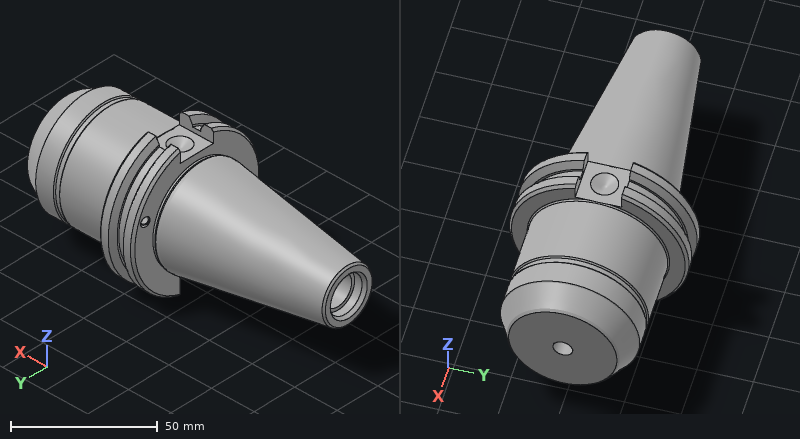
import cadquery as cq
import math


total_length = 132.8
gauge_x = 68.0
flange_x = 71.3
flange_end = 87.3
nose_cone_x = 124.0

taper_ratio = 7 / 48
gauge_radius = 22.2
shank_chamfer = 0.8
neck_diameter = 43.5
neck_step_x = 69.5
neck_x = 70.4

flange_diameter = 63.5
flange_chamfer = 1.0
groove_diameter = 56.3
groove_floor_width = 3.8
groove_center_x = 79.3
groove_flank_width = 1.6
groove_flank_angle = 60.0

nose_diameter = 49.3
nose_fillet = 0.5
ring_groove_diameter = 48.2
ring_groove_x = 112.3
ring_groove_width = 2.9
ring_groove_slope = 0.5
nose_edge_chamfer = 0.4
nose_mid_x = 128.2
nose_mid_radius = 21.9
nose_tip_radius = 19.9
nose_tip_chamfer = 0.8

slot_width = 16.3
upper_slot_floor = 24.8
lower_slot_floor = 22.7
dimple_diameter = 9.5
dimple_depth = 2.8

mouth_diameter = 18.2
mouth_depth = 1.6
pilot_diameter = 16.3
pilot_depth = 5.0
bore_diameter = 13.4
bore_depth = 106.2
through_diameter = 6.9
bore_cone_angle = 59.0

channel_diameter = 3.2
channel_mouth_diameter = 4.0
channel_mouth_depth = 1.9
channel_entry_radius = 27.1
channel_exit_radius = 5.3
channel_azimuth = 20.0
channel_overlap = 1.3


def make_body():
    flange_radius = flange_diameter / 2
    groove_radius = groove_diameter / 2
    nose_radius = nose_diameter / 2
    ring_radius = ring_groove_diameter / 2
    neck_radius = neck_diameter / 2
    floor_start = groove_center_x - groove_floor_width / 2
    floor_end = groove_center_x + groove_floor_width / 2
    flank_drop = groove_flank_width * math.tan(math.radians(groove_flank_angle))
    flank_foot = flange_radius - flank_drop
    ring_end = ring_groove_x + ring_groove_width
    shank_radius = gauge_radius - (gauge_x - shank_chamfer) * taper_ratio
    tip_chamfer_x = total_length - nose_tip_chamfer

    profile = (
        cq.Workplane("XY")
        .lineTo(0, shank_radius - shank_chamfer)
        .lineTo(shank_chamfer, shank_radius)
        .lineTo(gauge_x, gauge_radius)
        .lineTo(neck_step_x, gauge_radius)
        .lineTo(neck_x, neck_radius)
        .lineTo(flange_x, neck_radius)
        .lineTo(flange_x, flange_radius - flange_chamfer)
        .lineTo(flange_x + flange_chamfer, flange_radius)
        .lineTo(floor_start - groove_flank_width, flange_radius)
        .lineTo(floor_start, flank_foot)
        .lineTo(floor_start, groove_radius)
        .lineTo(floor_end, groove_radius)
        .lineTo(floor_end, flank_foot)
        .lineTo(floor_end + groove_flank_width, flange_radius)
        .lineTo(flange_end - flange_chamfer, flange_radius)
        .lineTo(flange_end, flange_radius - flange_chamfer)
        .lineTo(flange_end, nose_radius + nose_fillet)
        .radiusArc((flange_end + nose_fillet, nose_radius), -nose_fillet)
        .lineTo(ring_groove_x, nose_radius)
        .lineTo(ring_groove_x + ring_groove_slope, ring_radius)
        .lineTo(ring_end - ring_groove_slope, ring_radius)
        .lineTo(ring_end, nose_radius)
        .lineTo(nose_cone_x - nose_edge_chamfer, nose_radius)
        .lineTo(nose_cone_x, nose_radius - nose_edge_chamfer)
        .threePointArc((nose_mid_x, nose_mid_radius), (tip_chamfer_x, nose_tip_radius))
        .lineTo(total_length, nose_tip_radius - nose_tip_chamfer)
        .lineTo(total_length, 0)
        .close()
    )
    return profile.revolve(360, (0, 0, 0), (1, 0, 0))


def cone_position(radius):
    """X where the cone at the end of the bore has the given radius."""
    return bore_depth + (bore_diameter / 2 - radius) / math.tan(math.radians(bore_cone_angle))


def make_bore():
    bore_radius = bore_diameter / 2
    through_radius = through_diameter / 2
    cone_end = cone_position(through_radius)
    profile = (
        cq.Workplane("XY")
        .lineTo(0, mouth_diameter / 2)
        .lineTo(mouth_depth, pilot_diameter / 2)
        .lineTo(pilot_depth, pilot_diameter / 2)
        .lineTo(pilot_depth, bore_radius)
        .lineTo(bore_depth, bore_radius)
        .lineTo(cone_end, through_radius)
        .lineTo(total_length, through_radius)
        .lineTo(total_length, 0)
        .close()
    )
    return profile.revolve(360, (0, 0, 0), (1, 0, 0))


def make_drive_slot(floor, side):
    """Slot across the flange with a round end; side is 1 for +Z, -1 for -Z."""
    half_width = slot_width / 2
    return (
        cq.Workplane("XY")
        .workplane(offset=side * floor)
        .moveTo(flange_x, -half_width)
        .lineTo(flange_end + nose_fillet, -half_width)
        .threePointArc(
            (flange_end + nose_fillet + half_width, 0),
            (flange_end + nose_fillet, half_width),
        )
        .lineTo(flange_x, half_width)
        .close()
        .extrude(side * flange_diameter / 2)
    )


def make_dimple():
    cone = cq.Solid.makeCone(
        dimple_diameter / 2,
        0,
        dimple_depth,
        cq.Vector(groove_center_x, 0, upper_slot_floor),
        cq.Vector(0, 0, -1),
    )
    return cq.Workplane(cone)


def make_coolant_channel(side):
    """Counterbored channel; side is 1 for the +Y one, -1 for the -Y one."""
    radial_y = side * math.cos(math.radians(channel_azimuth))
    radial_z = side * math.sin(math.radians(channel_azimuth))
    exit_x = cone_position(channel_exit_radius)
    entry = cq.Vector(flange_x, channel_entry_radius * radial_y, channel_entry_radius * radial_z)
    end = cq.Vector(exit_x, channel_exit_radius * radial_y, channel_exit_radius * radial_z)
    direction = (end - entry).normalized()
    start = entry - direction * channel_overlap
    channel = cq.Solid.makeCylinder(
        channel_diameter / 2, (end - start).Length + channel_overlap, start, direction
    )
    mouth = cq.Solid.makeCylinder(
        channel_mouth_diameter / 2, channel_mouth_depth + channel_overlap, start, direction
    )
    return cq.Workplane(channel).union(cq.Workplane(mouth))


result = make_body().cut(make_bore())
result = result.cut(make_drive_slot(upper_slot_floor, 1))
result = result.cut(make_drive_slot(lower_slot_floor, -1))
result = result.cut(make_dimple())
for channel_side in (1, -1):
    result = result.cut(make_coolant_channel(channel_side))